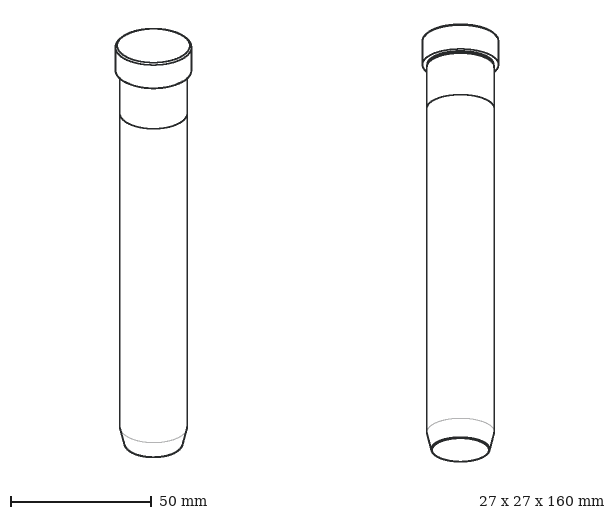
import cadquery as cq

total_length = 160.0
head_diameter = 27.0
head_height = 10.0
head_chamfer = 0.6
shank_diameter = 24.0

relief_height = 1.0
relief_depth = 0.2
relief_ramp = 0.5

joint_depth = 27.0

lead_length = 7.0
lead_tip_diameter = 20.8
tip_chamfer = 0.3

head_radius = head_diameter / 2
shank_radius = shank_diameter / 2
tip_radius = lead_tip_diameter / 2
head_bottom = total_length - head_height
joint_height = total_length - joint_depth


def revolve_about_axis(profile):
    """Turn a closed half profile into a solid about the Z axis."""
    return profile.revolve(360, (0, 0, 0), (0, 1, 0))


def make_headed_body():
    """Short cylinder with a chamfered head and a shallow ramped relief under it."""
    relief_radius = shank_radius - relief_depth
    relief_bottom = head_bottom - relief_height
    profile = (
        cq.Workplane("XZ")
        .moveTo(0, joint_height)
        .lineTo(shank_radius, joint_height)
        .lineTo(shank_radius, relief_bottom)
        .lineTo(relief_radius, relief_bottom + relief_ramp)
        .lineTo(relief_radius, head_bottom)
        .lineTo(head_radius, head_bottom)
        .lineTo(head_radius, total_length - head_chamfer)
        .lineTo(head_radius - head_chamfer, total_length)
        .lineTo(0, total_length)
        .close()
    )
    return revolve_about_axis(profile)


def make_guide_body():
    """Long cylinder whose lower end narrows along a cone to a chamfered tip."""
    profile = (
        cq.Workplane("XZ")
        .moveTo(0, 0)
        .lineTo(tip_radius - tip_chamfer, 0)
        .lineTo(tip_radius, tip_chamfer)
        .lineTo(shank_radius, lead_length)
        .lineTo(shank_radius, joint_height)
        .lineTo(0, joint_height)
        .close()
    )
    return revolve_about_axis(profile)


headed_body = make_headed_body()
guide_body = make_guide_body()

result = cq.Compound.makeCompound([headed_body.val(), guide_body.val()])